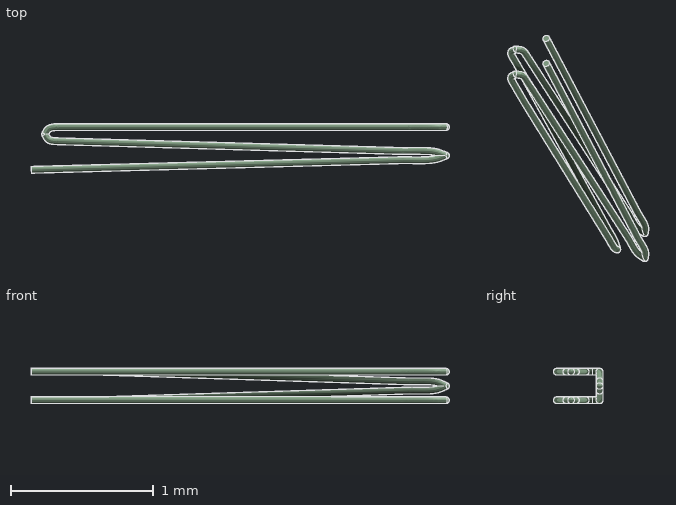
import cadquery as cq
import math

length = 2.93
width = 0.35
height = 0.25
wire_radius = 0.0245
joint_clearance = 0.0003
joint_radius = wire_radius - joint_clearance

right_tip_x = length / 2 - joint_radius
back_y = width / 2 - wire_radius
front_y = -back_y
level_z = height / 2 - wire_radius

right_bend_x = 1.125
right_bend_y = -0.05
right_bend_half_gap = 0.032

left_bend_x = -1.265
left_bend_reach = 0.103
left_bend_half_gap = 0.05

slope_start_x = -0.967
central_bend_x = 1.175
central_bend_half_gap = 0.032

arc_end_angle = math.radians(60)


def nose_base(bend, side):
    """Point on the bend where the ellipse gives way to the straight nose."""
    center, reach, half_gap = bend
    return center + reach * math.sin(arc_end_angle) + half_gap * (side * math.cos(arc_end_angle))


def leg_end(bend, side):
    """Point where the straight leg on one side (+1 or -1) meets the bend."""
    center, _, half_gap = bend
    return center + half_gap * side


def tip(bend):
    """Extreme point of the bend centreline."""
    center, reach, _ = bend
    return center + reach


def leg_into_bend(start, bend, side):
    """Edges from a point along a straight leg and round to the bend tip."""
    end = leg_end(bend, side)
    base = nose_base(bend, side)
    leg_direction = (end - start).normalized()
    nose_direction = (tip(bend) - base).normalized()
    return [
        cq.Edge.makeLine(start, end),
        cq.Edge.makeSpline([end, base], [leg_direction, nose_direction]),
        cq.Edge.makeLine(base, tip(bend)),
    ]


def bend_exit(bend, side, target):
    """Edges from the bend tip round to the leg that heads for target."""
    base = nose_base(bend, side)
    end = leg_end(bend, side)
    nose_direction = (base - tip(bend)).normalized()
    leg_direction = (target - end).normalized()
    return [
        cq.Edge.makeLine(tip(bend), base),
        cq.Edge.makeSpline([base, end], [nose_direction, leg_direction]),
    ]


def pipe(edges):
    """Round wire along a chain of edges, mitred at any kink."""
    section = cq.Plane(origin=edges[0].startPoint(), normal=edges[0].tangentAt(0))
    path = cq.Workplane("XY").newObject([cq.Wire.assembleEdges(edges)])
    return cq.Workplane(section).circle(wire_radius).sweep(path, transition="right")


def tip_ball(bend):
    """Rounded end that joins the two sides of a bend."""
    return cq.Workplane("XY").sphere(joint_radius).translate(tip(bend).toTuple())


right_bend = (
    cq.Vector(right_bend_x, right_bend_y, level_z),
    cq.Vector(right_tip_x - right_bend_x, 0, 0),
    cq.Vector(0, right_bend_half_gap, 0),
)
left_bend = (
    cq.Vector(left_bend_x, back_y - left_bend_half_gap, level_z),
    cq.Vector(-left_bend_reach, 0, 0),
    cq.Vector(0, left_bend_half_gap, 0),
)
central_bend = (
    cq.Vector(central_bend_x, back_y, 0),
    cq.Vector(right_tip_x - central_bend_x, 0, 0),
    cq.Vector(0, 0, central_bend_half_gap),
)

free_end = cq.Vector(-length / 2, front_y, level_z)
slope_start = cq.Vector(slope_start_x, back_y, level_z)

front_leg = pipe(leg_into_bend(free_end, right_bend, -1))

return_leg = pipe(
    bend_exit(right_bend, 1, leg_end(left_bend, -1))
    + leg_into_bend(leg_end(right_bend, 1), left_bend, -1)
)

back_leg = pipe(
    bend_exit(left_bend, 1, slope_start)
    + [cq.Edge.makeLine(leg_end(left_bend, 1), slope_start)]
    + leg_into_bend(slope_start, central_bend, 1)
)

upper = front_leg.union(return_leg).union(back_leg)
for bend in (right_bend, left_bend):
    upper = upper.union(tip_ball(bend))

result = upper.union(upper.mirror("XY")).union(tip_ball(central_bend))